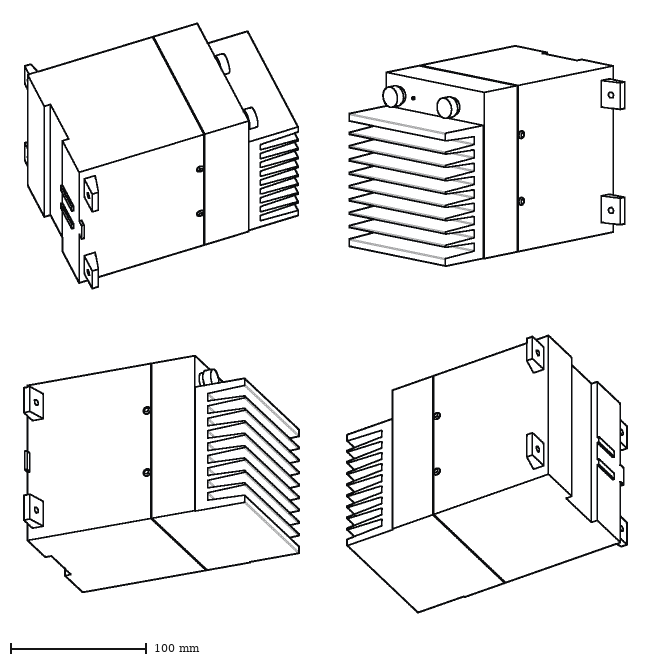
import cadquery as cq


total_length = 175.6
housing_width = 102.0
housing_height = 125.0
heatsink_length = 39.7
pad_thickness = 1.4
housing_length = total_length - heatsink_length - pad_thickness
seam_y = 99.4
seam_width = 0.5
seam_depth = 0.4

rail_width = 36.0
rail_depth = 5.0
pad_length = 22.1
pad_height = 5.0
tab_reach = 5.0
tab_height = 15.1
tab_thickness = 2.0

overall_width = 134.0
ear_height = 20.0
ear_spacing = 86.7
ear_front_y = 4.0
ear_tip_thickness = 5.0
ear_root_thickness = 8.8
ear_hole_spacing = 118.5
ear_hole_diameter = 4.2

screw_y = 96.0
screw_spacing = 50.0
screw_diameter = 5.6
screw_height = 1.4
screw_cone_height = 1.0
screw_cone_inset = 1.2

heatsink_width = 100.1
heatsink_height = 100.1
fin_length = 30.0
gap_count = 9
gap_pitch = 10.0
gap_root_height = 6.0
gap_tip_height = 8.5
root_radius = 0.7
tip_radius = 0.7

connector_z = 110.0
connector_xs = (-19.1, 37.0)
neck_diameter = 12.5
neck_length = 3.5
collar_diameter = 15.1
collar_length = 6.3
indicator_x = 22.1
indicator_diameter = 2.0
indicator_length = 1.2

middle_z = housing_height / 2
side_x = housing_width / 2
sides = (-1, 1)


def block(x_min, x_max, y_min, y_max, z_min, z_max):
    """Box given by its limits along each axis."""
    box = cq.Workplane("XY").box(x_max - x_min, y_max - y_min, z_max - z_min, centered=False)
    return box.translate((x_min, y_min, z_min))


def rear_cylinder(x, y, diameter, length):
    """Cylinder at connector height, running back along Y from the given place."""
    plane = cq.Plane(origin=(x, y, connector_z), xDir=(0, 0, 1), normal=(0, 1, 0))
    return cq.Workplane(plane).circle(diameter / 2).extrude(length)


def make_housing():
    """Box with a seam groove around it and the rail recess down its front."""
    housing = block(-side_x, side_x, 0, housing_length, 0, housing_height)
    seam_front = seam_y - seam_width / 2
    seam_back = seam_y + seam_width / 2
    ring = block(-side_x, side_x, seam_front, seam_back, 0, housing_height)
    core_x = side_x - seam_depth
    core = block(-core_x, core_x, seam_front, seam_back, seam_depth, housing_height - seam_depth)
    recess = block(-rail_width / 2, rail_width / 2, 0, rail_depth, 0, housing_height)
    return housing.cut(ring.cut(core)).cut(recess)


def make_clip():
    """Two raised pads beside the recess and the release tab past the +X side."""
    pad_x = rail_width / 2
    low_z = middle_z - tab_height / 2
    high_z = middle_z + tab_height / 2
    clip = block(side_x, side_x + tab_reach, 0, tab_thickness, low_z, high_z)
    for pad_z in (low_z - pad_height, high_z):
        clip = clip.add(block(pad_x, pad_x + pad_length, -pad_thickness, 0, pad_z, pad_z + pad_height))
    return clip.combine()


def make_ear(side, center_z):
    """Tapered ear with a through hole along Y."""
    root_x = side * side_x
    tip_x = side * overall_width / 2
    ear = (
        cq.Workplane("XY", origin=(0, 0, center_z - ear_height / 2))
        .moveTo(root_x, ear_front_y)
        .lineTo(tip_x, ear_front_y)
        .lineTo(tip_x, ear_front_y + ear_tip_thickness)
        .lineTo(root_x, ear_front_y + ear_root_thickness)
        .close()
        .extrude(ear_height)
    )
    hole_plane = cq.Plane(
        origin=(side * ear_hole_spacing / 2, ear_front_y, center_z), xDir=(1, 0, 0), normal=(0, 1, 0)
    )
    hole = cq.Workplane(hole_plane).circle(ear_hole_diameter / 2).extrude(ear_root_thickness)
    return ear.cut(hole)


def make_screw(side, center_z):
    """Conical-topped screw head standing on a side face."""
    plane = cq.Plane(origin=(side * side_x, screw_y, center_z), xDir=(0, 1, 0), normal=(side, 0, 0))
    radius = screw_diameter / 2
    rim_height = screw_height - screw_cone_height
    rim = cq.Workplane(plane).circle(radius).extrude(rim_height)
    crown = (
        cq.Workplane(plane)
        .workplane(offset=rim_height)
        .circle(radius)
        .workplane(offset=screw_cone_height)
        .circle(radius - screw_cone_inset)
        .loft(ruled=True)
    )
    return rim.union(crown)


def make_heatsink():
    """Finned block; tapered gaps open toward +Y and run the full width."""
    root_y = housing_length + heatsink_length - fin_length
    tip_y = housing_length + heatsink_length
    half_width = heatsink_width / 2
    heatsink = block(-half_width, half_width, housing_length, tip_y, 0, heatsink_height)
    for index in range(gap_count):
        gap_z = heatsink_height / 2 + (index - (gap_count - 1) / 2) * gap_pitch
        gap = (
            cq.Workplane("YZ", origin=(-half_width, 0, 0))
            .moveTo(root_y, gap_z - gap_root_height / 2)
            .lineTo(tip_y, gap_z - gap_tip_height / 2)
            .lineTo(tip_y, gap_z + gap_tip_height / 2)
            .lineTo(root_y, gap_z + gap_root_height / 2)
            .close()
            .extrude(heatsink_width)
            .edges("|X and <Y")
            .fillet(root_radius)
        )
        heatsink = heatsink.cut(gap)
    return heatsink.edges("|X and >Y").fillet(tip_radius)


def make_connector(x):
    """Round connector: a neck with a wider collar behind it."""
    neck = rear_cylinder(x, housing_length, neck_diameter, neck_length)
    collar = rear_cylinder(x, housing_length + neck_length, collar_diameter, collar_length)
    return neck.union(collar)


result = make_housing().union(make_clip()).union(make_heatsink())

for side in sides:
    for end in sides:
        result = result.union(make_ear(side, middle_z + end * ear_spacing / 2))
        result = result.union(make_screw(side, middle_z + end * screw_spacing / 2))

for connector_x in connector_xs:
    result = result.union(make_connector(connector_x))

result = result.union(rear_cylinder(indicator_x, housing_length, indicator_diameter, indicator_length))